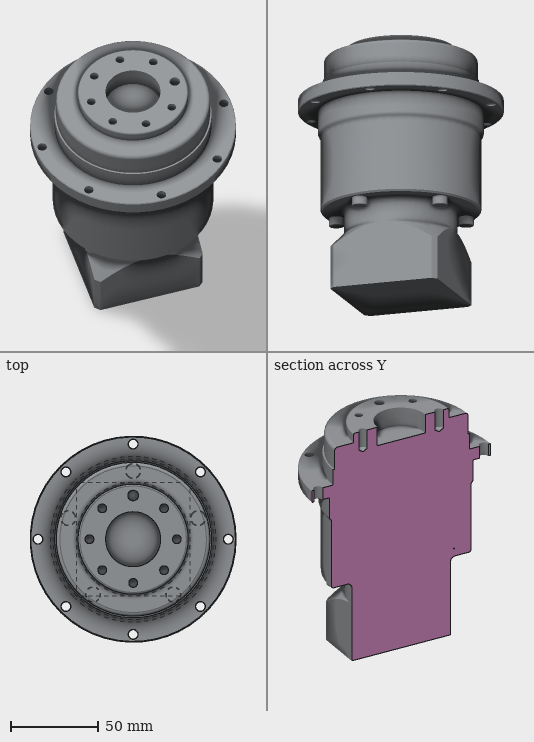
import cadquery as cq
import math

foot_shoulder_z = 36.5
neck_top_z = 50.4
body_blend_z = 93.7
flange_bottom_z = 109.5
flange_top_z = 117.4
register_top_z = 127.4
cap_top_z = 141.3
hub_top_z = 147.3

neck_dia = 65.1
body_dia = 92.0
collar_dia = 95.0
flange_dia = 118.0
register_dia = 90.0
cap_dia = 88.1
hub_dia = 63.0

body_chamfer = 1.0
blend_radius = 2.5
flange_chamfer = 0.5
cap_fillet = 2.0
hub_fillet = 1.0
neck_fillet = 3.0

foot_corner_dia = 88.1

bore_dia = 31.5
bore_depth = 12.0
hub_hole_circle_dia = 50.1
tapped_hole_dia = 5.0
tapped_hole_depth = 12.0
drill_tip_angle = 118.0
dowel_hole_dia = 6.0
dowel_hole_depth = 7.4
hub_hole_count = 8
dowel_position = 2

flange_hole_count = 8
flange_hole_circle_dia = 109.0
flange_hole_dia = 5.5

screw_count = 5
screw_first_angle = 90.0
screw_circle_dia = 78.2
screw_head_dia = 8.7
screw_head_height = 4.9
screw_edge_chamfer = 0.3


def disc(diameter, bottom_z, top_z):
    """Cylinder on the Z axis between two heights."""
    return cq.Workplane("XY").workplane(offset=bottom_z).circle(diameter / 2).extrude(top_z - bottom_z)


def circle_points(count, diameter, first_angle=0.0):
    """Evenly spaced points on a circle about the Z axis."""
    angles = [math.radians(first_angle + 360.0 * i / count) for i in range(count)]
    return [(diameter / 2 * math.cos(a), diameter / 2 * math.sin(a)) for a in angles]


def make_foot():
    """Square block with turned corners and a 45 degree conical shoulder."""
    block = cq.Workplane("XY").rect(neck_dia, neck_dia).extrude(foot_shoulder_z)
    shoulder_width = (foot_corner_dia - neck_dia) / 2
    turned = disc(foot_corner_dia, 0, foot_shoulder_z).faces(">Z").chamfer(shoulder_width)
    return block.intersect(turned)


def make_neck():
    """Round neck with a concave fillet where it meets the body."""
    radius = neck_dia / 2
    fillet_start_z = neck_top_z - neck_fillet
    arc_middle_offset = neck_fillet * (1 - math.sqrt(0.5))
    return (
        cq.Workplane("XZ")
        .moveTo(0, foot_shoulder_z)
        .lineTo(radius, foot_shoulder_z)
        .lineTo(radius, fillet_start_z)
        .threePointArc(
            (radius + arc_middle_offset, neck_top_z - arc_middle_offset),
            (radius + neck_fillet, neck_top_z),
        )
        .lineTo(0, neck_top_z)
        .close()
        .revolve(360, (0, 0, 0), (0, 1, 0))
    )


def make_body():
    """Body and the wider collar above it, joined by an S-shaped blend of two equal arcs."""
    body_radius = body_dia / 2
    collar_radius = collar_dia / 2
    blend_angle = math.acos(1 - (collar_radius - body_radius) / (2 * blend_radius))
    arc_middle_inset = blend_radius * (1 - math.cos(blend_angle / 2))
    arc_middle_rise = blend_radius * math.sin(blend_angle / 2)
    middle_radius = (body_radius + collar_radius) / 2
    blend_middle_z = body_blend_z + blend_radius * math.sin(blend_angle)
    blend_top_z = body_blend_z + 2 * blend_radius * math.sin(blend_angle)
    return (
        cq.Workplane("XZ")
        .moveTo(0, neck_top_z)
        .lineTo(body_radius - body_chamfer, neck_top_z)
        .lineTo(body_radius, neck_top_z + body_chamfer)
        .lineTo(body_radius, body_blend_z)
        .threePointArc(
            (body_radius + arc_middle_inset, body_blend_z + arc_middle_rise),
            (middle_radius, blend_middle_z),
        )
        .threePointArc(
            (collar_radius - arc_middle_inset, blend_top_z - arc_middle_rise),
            (collar_radius, blend_top_z),
        )
        .lineTo(collar_radius, flange_bottom_z)
        .lineTo(0, flange_bottom_z)
        .close()
        .revolve(360, (0, 0, 0), (0, 1, 0))
    )


def make_housing():
    """Body with collar, flange, register, cap and hub stacked on one axis."""
    flange = disc(flange_dia, flange_bottom_z, flange_top_z).edges().chamfer(flange_chamfer)
    register = disc(register_dia, flange_top_z, register_top_z)
    cap = disc(cap_dia, register_top_z, cap_top_z).faces(">Z").fillet(cap_fillet)
    hub = disc(hub_dia, cap_top_z, hub_top_z).faces(">Z").fillet(hub_fillet)
    return make_body().union(flange).union(register).union(cap).union(hub)


def make_screw_heads():
    """Ring of cylindrical screw heads hanging below the body."""
    return (
        cq.Workplane("XY")
        .workplane(offset=neck_top_z - screw_head_height)
        .pushPoints(circle_points(screw_count, screw_circle_dia, screw_first_angle))
        .circle(screw_head_dia / 2)
        .extrude(screw_head_height)
        .faces("<Z")
        .chamfer(screw_edge_chamfer)
    )


def make_tapped_hole():
    """Cutter for one blind hole with a conical drill tip, its mouth at the origin."""
    radius = tapped_hole_dia / 2
    tip_length = radius / math.tan(math.radians(drill_tip_angle / 2))
    return (
        cq.Workplane("XZ")
        .moveTo(0, 0)
        .lineTo(radius, 0)
        .lineTo(radius, -tapped_hole_depth)
        .lineTo(0, -tapped_hole_depth - tip_length)
        .close()
        .revolve(360, (0, 0, 0), (0, 1, 0))
    )


def cut_hub_holes(part):
    """Central bore, ring of tapped holes and one dowel hole that replaces a tapped hole."""
    part = part.cut(disc(bore_dia, hub_top_z - bore_depth, hub_top_z))
    for position, (x, y) in enumerate(circle_points(hub_hole_count, hub_hole_circle_dia)):
        if position == dowel_position:
            dowel = disc(dowel_hole_dia, hub_top_z - dowel_hole_depth, hub_top_z)
            part = part.cut(dowel.translate((x, y, 0)))
        else:
            part = part.cut(make_tapped_hole().translate((x, y, hub_top_z)))
    return part


def cut_flange_holes(part):
    """Ring of through holes in the flange."""
    cutter = disc(flange_hole_dia, flange_bottom_z, flange_top_z)
    for x, y in circle_points(flange_hole_count, flange_hole_circle_dia):
        part = part.cut(cutter.translate((x, y, 0)))
    return part


gearbox = make_foot().union(make_neck()).union(make_housing()).union(make_screw_heads())
result = cut_flange_holes(cut_hub_holes(gearbox))